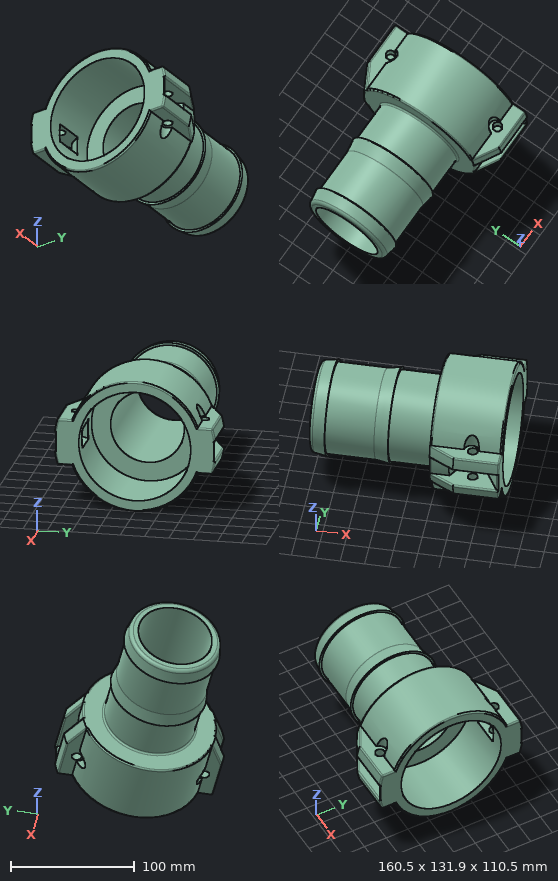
import cadquery as cq
import math

TOTAL_LENGTH = 160.53
COUPLER_LENGTH = 58.74
COUPLER_START = TOTAL_LENGTH - COUPLER_LENGTH

SHANK_RADIUS = 75.18 / 2
HOSE_BORE_RADIUS = 60.71 / 2
WALL = SHANK_RADIUS - HOSE_BORE_RADIUS
BARB_RADIUS = 79.38 / 2
BARB_SLOPE = math.radians(10)
NOSE_BARB_CREST = 13.0
REAR_BARB_CREST = 65.0
NOSE_FILLET = 3.18
ROOT_FILLET = 1.52

COUPLER_RADIUS = 110.49 / 2
COUPLER_BORE_RADIUS = 92.2 / 2
EDGE_FILLET = 1.27

EAR_WIDTH = 131.87
EAR_RAMP_LENGTH = 21.3
RAIL_INNER_Z = 8.2
RAIL_OUTER_Z = 19.35
RAIL_THICKNESS = RAIL_OUTER_Z - RAIL_INNER_Z
EAR_RADIUS = EDGE_FILLET + math.hypot(EAR_WIDTH / 2 - EDGE_FILLET, RAIL_INNER_Z + EDGE_FILLET)

WINDOW_SLOPE = math.radians(60)
WINDOW_START = 123.1
WINDOW_END = 147.7
STOP_HALF_WIDTH = 64.95

PIN_DIAMETER = 7.94
PIN_X = 137.0
PIN_Y = 52.6
RECESS_DIAMETER = 12.6
RECESS_X = 135.8
RECESS_Y = 52.3


def x_cylinder(start, end, radius):
    return cq.Workplane("YZ", origin=(start, 0, 0)).circle(radius).extrude(end - start)


def barb(start, crest):
    """Cone rising toward +X to a sharp crest."""
    start_radius = BARB_RADIUS - (crest - start) * math.tan(BARB_SLOPE)
    return (
        cq.Workplane("XY")
        .polyline([(start, 0), (start, start_radius), (crest, BARB_RADIUS), (crest, 0)])
        .close()
        .revolve(360, (0, 0, 0), (1, 0, 0))
    )


def hose_shank():
    rise_length = (BARB_RADIUS - SHANK_RADIUS) / math.tan(BARB_SLOPE)
    nose = barb(0, NOSE_BARB_CREST).faces("<X").edges().fillet(NOSE_FILLET)
    shank = x_cylinder(NOSE_BARB_CREST, COUPLER_START, SHANK_RADIUS)
    rear_barb = barb(REAR_BARB_CREST - rise_length, REAR_BARB_CREST)
    return nose.union(shank).union(rear_barb)


def coupler_body():
    return x_cylinder(COUPLER_START, TOTAL_LENGTH, COUPLER_RADIUS).edges().fillet(EDGE_FILLET)


def root_fillet():
    """Concave ring between the shank and the coupler's rear face."""
    ring_start = COUPLER_START - ROOT_FILLET
    ring_radius = SHANK_RADIUS + ROOT_FILLET
    reach = ROOT_FILLET * math.sqrt(0.5)
    return (
        cq.Workplane("XY")
        .moveTo(ring_start, HOSE_BORE_RADIUS)
        .lineTo(ring_start, SHANK_RADIUS)
        .threePointArc((ring_start + reach, ring_radius - reach), (COUPLER_START, ring_radius))
        .lineTo(COUPLER_START, HOSE_BORE_RADIUS)
        .close()
        .revolve(360, (0, 0, 0), (1, 0, 0))
    )


def rail():
    """Upper rail on the +Y side, with a rounded outer face that is conical toward the hose."""
    blank = (
        cq.Workplane("XY")
        .moveTo(COUPLER_START, COUPLER_BORE_RADIUS)
        .lineTo(COUPLER_START, COUPLER_RADIUS)
        .lineTo(COUPLER_START + EAR_RAMP_LENGTH, EAR_RADIUS)
        .lineTo(TOTAL_LENGTH, EAR_RADIUS)
        .lineTo(TOTAL_LENGTH, COUPLER_BORE_RADIUS)
        .close()
        .revolve(360, (0, 0, 0), (1, 0, 0))
    )
    slab = cq.Workplane("XY", origin=(0, 0, RAIL_INNER_Z)).box(
        TOTAL_LENGTH, EAR_RADIUS, RAIL_THICKNESS, centered=False
    )
    piece = blank.intersect(slab)
    beyond_body = cq.selectors.BoxSelector(
        (COUPLER_START, COUPLER_RADIUS, 0), (TOTAL_LENGTH, EAR_RADIUS, EAR_RADIUS)
    )
    long_edges = piece.edges("|X or %HYPERBOLA").edges(beyond_body)
    end_edges = piece.faces(">X").edges(">Y or >Z")
    return long_edges.add(end_edges).fillet(EDGE_FILLET)


def stop_block():
    """Sloped wall closing the gap between the +Y rails at the coupler mouth."""
    crest_rise = (STOP_HALF_WIDTH - COUPLER_BORE_RADIUS) / math.tan(WINDOW_SLOPE)
    block = (
        cq.Workplane("XY", origin=(0, 0, -RAIL_INNER_Z))
        .polyline([
            (WINDOW_END, COUPLER_BORE_RADIUS),
            (WINDOW_END + crest_rise, STOP_HALF_WIDTH),
            (TOTAL_LENGTH, STOP_HALF_WIDTH),
            (TOTAL_LENGTH, COUPLER_BORE_RADIUS),
        ])
        .close()
        .extrude(2 * RAIL_INNER_Z)
    )
    return block.faces(">Y").edges("<X").fillet(EDGE_FILLET)


def window():
    """Cutter through the +Y wall, flaring outward, for the cam arm."""
    depth = COUPLER_RADIUS - COUPLER_BORE_RADIUS
    flare = depth / math.tan(WINDOW_SLOPE)
    inner_y = COUPLER_BORE_RADIUS
    return (
        cq.Workplane("XY", origin=(0, 0, -RAIL_INNER_Z))
        .polyline([
            (WINDOW_START + flare, 0.0),
            (WINDOW_START, inner_y),
            (WINDOW_START - flare, COUPLER_RADIUS),
            (WINDOW_END + flare, COUPLER_RADIUS),
            (WINDOW_END, inner_y),
            (WINDOW_END - flare, 0.0),
        ])
        .close()
        .extrude(2 * RAIL_INNER_Z)
    )


def pin_hole():
    return (
        cq.Workplane("XY", origin=(PIN_X, PIN_Y, -COUPLER_RADIUS))
        .circle(PIN_DIAMETER / 2)
        .extrude(2 * COUPLER_RADIUS)
    )


def pin_recess():
    """Clearance above the upper +Y rail, cut into the side of the coupler body."""
    return (
        cq.Workplane("XY", origin=(RECESS_X, RECESS_Y, RAIL_OUTER_Z))
        .circle(RECESS_DIAMETER / 2)
        .extrude(COUPLER_RADIUS)
    )


def both_sides(shape):
    return shape.union(shape.mirror("XZ"))


def upper_and_lower(shape):
    return shape.union(shape.mirror("XY"))


coupler = coupler_body().union(both_sides(upper_and_lower(rail()))).union(both_sides(stop_block()))
fitting = coupler.union(hose_shank()).union(root_fillet())

fitting = fitting.cut(x_cylinder(0, TOTAL_LENGTH, HOSE_BORE_RADIUS))
fitting = fitting.cut(x_cylinder(COUPLER_START + WALL, TOTAL_LENGTH, COUPLER_BORE_RADIUS))

fitting = fitting.cut(both_sides(window()))
fitting = fitting.cut(both_sides(pin_hole()))
result = fitting.cut(both_sides(upper_and_lower(pin_recess())))